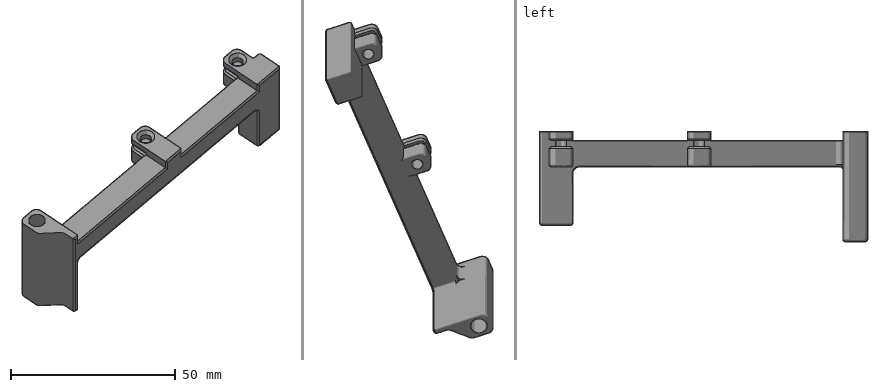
import cadquery as cq
import math

width = 17.5
length = 99.75
post_height = 33.5
leg_height = 28.5
edge_radius = 0.75
back_chamfer = 0.5

beam_front = 9.0
beam_top = -2.8
beam_bottom = -10.8
leg_width = 10.1
leg_start = length - leg_width
underside_radius = 2.0
post_underside_radius = 0.8

post_depth = 7.6
web_start = 5.5
post_corner_radius = 2.0
post_hole_diameter = 5.0
post_hole_x = 3.8
post_hole_y = post_depth / 2
bevel_foot_x = 7.5
beam_fillet_radius = 2.0

lug_width = 7.2
lug_front = 2.1
lug_radius = 2.0
lug_hole_x = 5.8
lug_spacing = 42.0
slot_top = -2.8
slot_bottom = -4.6
slot_chamfer = 0.6
screw_diameter = 3.4
countersink_diameter = 5.4
countersink_angle = 90
lug_centers = [leg_start + lug_width / 2 - i * lug_spacing for i in range(2)]


def block(x_range, y_range, z_range):
    """Box spanning the given X, Y and Z ranges."""
    x0, x1 = x_range
    y0, y1 = y_range
    z0, z1 = z_range
    return cq.Workplane("XY").box(x1 - x0, y1 - y0, z1 - z0, centered=False).translate((x0, y0, z0))


def make_frame():
    """Beam and leg as one side outline, rounded along its front edges except at the top."""
    frame = (
        cq.Workplane("YZ", origin=(beam_front, 0, 0))
        .moveTo(web_start, beam_top)
        .lineTo(leg_start, beam_top)
        .lineTo(leg_start, 0)
        .lineTo(length, 0)
        .lineTo(length, -leg_height)
        .lineTo(leg_start, -leg_height)
        .lineTo(leg_start, beam_bottom)
        .lineTo(web_start, beam_bottom)
        .close()
        .extrude(width - beam_front)
    )
    corner = cq.selectors.NearestToPointSelector(((beam_front + width) / 2, leg_start, beam_bottom))
    frame = frame.edges("|X").edges(corner).fillet(underside_radius)
    below_top = cq.selectors.BoxSelector((0, post_depth, -post_height), (width, 2 * length, 2 * beam_top))
    front_edges = frame.faces("<X").edges(below_top)
    bottom_edges = frame.faces("<Z").edges("|X")
    return frame.newObject(front_edges.vals() + bottom_edges.vals()).fillet(edge_radius)


def make_post():
    """Post whose outline runs along a 45 degree bevel into a thin web."""
    bevel_top_x = bevel_foot_x + web_start
    outline = (
        cq.Workplane("XY")
        .moveTo(0, 0)
        .lineTo(bevel_foot_x, 0)
        .lineTo(bevel_top_x, web_start)
        .lineTo(width, web_start)
        .lineTo(width, post_depth)
        .lineTo(0, post_depth)
        .close()
        .extrude(-post_height)
    )
    post = outline.edges("|Z").edges("<X or <Y").fillet(post_corner_radius)
    bevel_top = cq.selectors.NearestToPointSelector((bevel_top_x, web_start, -post_height / 2))
    post = post.edges("|Z").edges(bevel_top).fillet(post_corner_radius)
    return post.faces("<Z").edges("not >X").fillet(edge_radius)


def make_beam_fillet():
    """Concave round filling the upright corner between the beam front and the post."""
    r = beam_fillet_radius
    return (
        cq.Workplane("XY", origin=(0, 0, beam_bottom + edge_radius))
        .moveTo(beam_front, post_depth)
        .lineTo(beam_front - r, post_depth)
        .radiusArc((beam_front, post_depth + r), -r)
        .close()
        .extrude(beam_top - beam_bottom - edge_radius)
    )


def make_post_gusset():
    """Concave round under the beam where it meets the post."""
    r = post_underside_radius
    return (
        cq.Workplane("YZ", origin=(beam_front + edge_radius, 0, 0))
        .moveTo(post_depth, beam_bottom)
        .lineTo(post_depth + r, beam_bottom)
        .radiusArc((post_depth, beam_bottom - r), -r)
        .close()
        .extrude(width - beam_front - edge_radius)
    )


def make_lug(center_y):
    """Lug of two pads separated by a slot, the upper pad reaching across the beam."""
    y_range = (center_y - lug_width / 2, center_y + lug_width / 2)
    bridge = block((beam_front, width), y_range, (beam_top, 0))
    upper = block((lug_front, beam_front), y_range, (slot_top, 0))
    lower = block((lug_front, beam_front + edge_radius), y_range, (beam_bottom, slot_bottom))
    upper = upper.edges("|Z and <X").fillet(lug_radius)
    lower = lower.edges("|Z and <X").fillet(lug_radius)
    upper = upper.faces("<Z").edges("not >X").chamfer(slot_chamfer)
    lower = lower.faces(">Z").edges("not >X").chamfer(slot_chamfer)
    lower = lower.faces("<Z").edges("not >X").fillet(edge_radius)
    return bridge.union(upper).union(lower)


def cylinder(diameter, x, y, top, bottom):
    """Upright cylinder between two heights."""
    return cq.Workplane("XY", origin=(x, y, bottom)).circle(diameter / 2).extrude(top - bottom)


def make_screw_cut(center_y):
    """Countersunk through hole, with a round notch in the beam front at slot height."""
    hole = cylinder(screw_diameter, lug_hole_x, center_y, 0, beam_bottom)
    sink_width = (countersink_diameter - screw_diameter) / 2
    sink_depth = sink_width / math.tan(math.radians(countersink_angle / 2))
    sink = (
        cq.Workplane("XY", origin=(lug_hole_x, center_y, 0))
        .circle(countersink_diameter / 2)
        .workplane(offset=-sink_depth)
        .circle(screw_diameter / 2)
        .loft()
    )
    notch = cylinder(screw_diameter, beam_front, center_y, slot_top, slot_bottom)
    return hole.union(sink).union(notch)


result = make_frame().union(make_post()).union(make_beam_fillet()).union(make_post_gusset())
for center_y in lug_centers:
    result = result.union(make_lug(center_y))
result = result.clean().faces(">X").edges().chamfer(back_chamfer)
for center_y in lug_centers:
    result = result.cut(make_screw_cut(center_y))
result = result.cut(cylinder(post_hole_diameter, post_hole_x, post_hole_y, 0, -post_height))